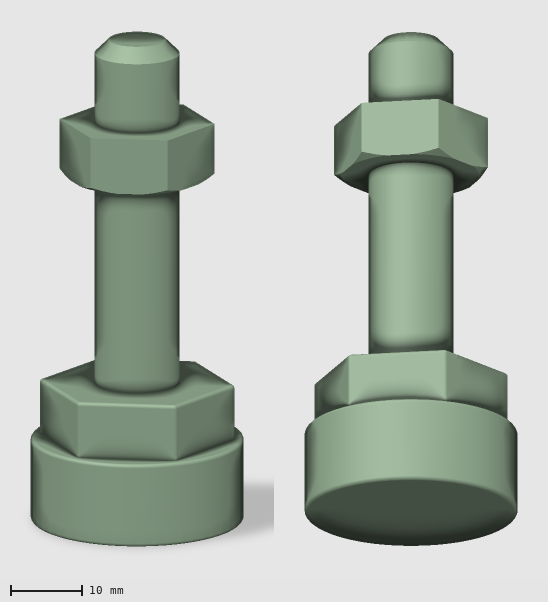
import cadquery as cq
import math

base_diameter = 30.0
base_height = 12.0
grip_across_flats = 24.0
grip_height = 8.0
edge_round = 0.5

stud_diameter = 12.0
stud_length = 50.0
stud_tip_chamfer = 2.0

nut_across_flats = 19.0
nut_height = 8.0
nut_to_stud_tip = 12.0
nut_chamfer_width = 1.3
nut_chamfer_angle = 30.0

foot_height = base_height + grip_height
nut_bottom = foot_height + stud_length - nut_to_stud_tip - nut_height


def across_corners(across_flats):
    return across_flats / math.cos(math.pi / 6)


def hexagon_prism(across_flats, height, bottom):
    """Hexagonal prism with two corners on the X axis."""
    plane = cq.Workplane("XY").workplane(offset=bottom)
    return plane.polygon(6, across_corners(across_flats)).extrude(height)


def make_foot():
    base = cq.Workplane("XY").circle(base_diameter / 2).extrude(base_height)
    base = base.faces("<Z or >Z").edges().fillet(edge_round)
    grip = hexagon_prism(grip_across_flats, grip_height, base_height)
    grip = grip.edges("|Z or >Z").fillet(edge_round)
    return base.union(grip)


def make_stud():
    foot_top = cq.Workplane("XY").workplane(offset=foot_height)
    stud = foot_top.circle(stud_diameter / 2).extrude(stud_length)
    return stud.faces(">Z").chamfer(stud_tip_chamfer)


def make_nut():
    prism = hexagon_prism(nut_across_flats, nut_height, nut_bottom)

    corner_radius = across_corners(nut_across_flats) / 2
    chamfer_height = nut_chamfer_width * math.tan(math.radians(nut_chamfer_angle))
    nut_top = nut_bottom + nut_height
    turned_blank = (
        cq.Workplane("XZ")
        .moveTo(0, nut_bottom)
        .lineTo(corner_radius - nut_chamfer_width, nut_bottom)
        .lineTo(corner_radius, nut_bottom + chamfer_height)
        .lineTo(corner_radius, nut_top)
        .lineTo(0, nut_top)
        .close()
        .revolve(360, (0, 0, 0), (0, 1, 0))
    )
    nut_body = prism.intersect(turned_blank)
    return nut_body.faces(">Z").workplane().hole(stud_diameter)


foot = make_foot()
stud = make_stud()
nut = make_nut()

result = cq.Compound.makeCompound([foot.solids().val(), stud.solids().val(), nut.solids().val()])